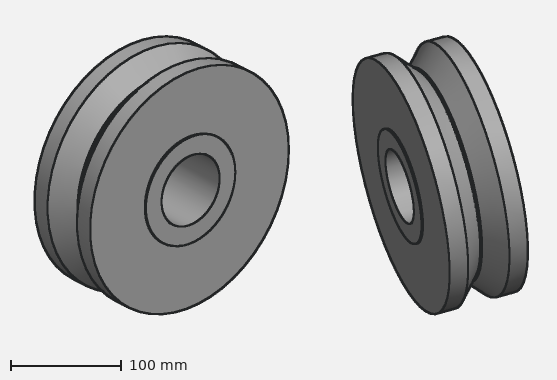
import cadquery as cq

wheel_diameter = 240.0
rim_width = 76.0
hub_width = 79.0
hub_diameter = 108.0
bore_diameter = 70.0
groove_width = 40.0
relief_width = 2.0
relief_diameter = 196.8

wheel_radius = wheel_diameter / 2
flank_depth = (groove_width - relief_width) / 2
flank_foot_radius = wheel_radius - flank_depth


def disc(diameter, width):
    """Disc centred on the origin with its axis along X."""
    return cq.Workplane("YZ").circle(diameter / 2).extrude(width / 2, both=True)


def groove_cutter():
    """Ring-shaped cutter for the V-groove and its relief slot."""
    outline = [
        (-groove_width / 2, wheel_radius),
        (-relief_width / 2, flank_foot_radius),
        (-relief_width / 2, relief_diameter / 2),
        (relief_width / 2, relief_diameter / 2),
        (relief_width / 2, flank_foot_radius),
        (groove_width / 2, wheel_radius),
    ]
    return cq.Workplane("XY").polyline(outline).close().revolve(360, (0, 0, 0), (1, 0, 0))


wheel = disc(wheel_diameter, rim_width).union(disc(hub_diameter, hub_width))
result = wheel.cut(groove_cutter()).cut(disc(bore_diameter, hub_width))